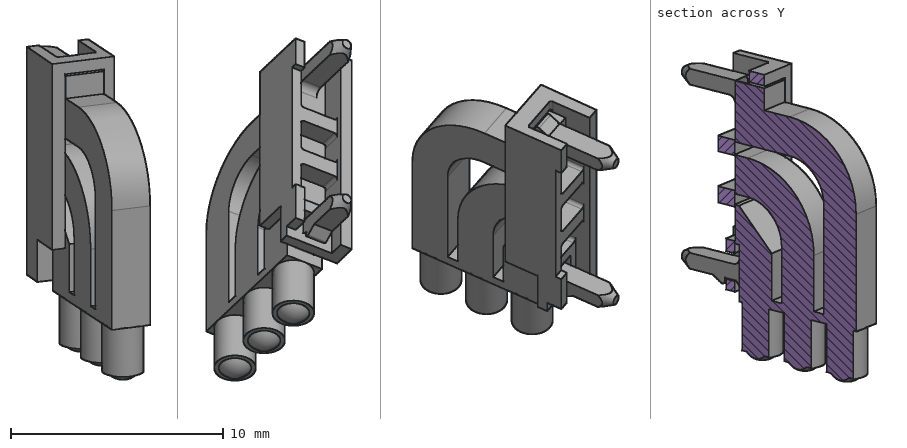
import cadquery as cq
import math


BAR = 1.97
ARM_PITCH = 2.53
FIRST_ARM_X = 1.58
OUTLET_X = 1.31
BEND_INNER_R = 2.02
BEND_OUTER_R = BEND_INNER_R + BAR
LENS_HEIGHT = 0.4
LENS_D = 1.53
BASE_BOTTOM_Z = 2.8
BASE_TOP_Z = 3.28
ARM_X = [FIRST_ARM_X + i * ARM_PITCH for i in range(3)]
MIDDLE_ARM_TOP_Z = 10.09
LONG_ARM_TOP_Z = 12.67
REFLECTOR_Z = 5.64
SHORT_ARM_TOP_Z = REFLECTOR_Z + BAR

PIN_WIDTH = 1.01
PIN_HEIGHT = 0.8
PIN_TIP_X = -2.1
PIN_TIP_D = 0.49
PIN_TIP_ANGLE = 30.0
UPPER_PIN_Z = 13.38
LOWER_PIN_Z = 4.2
PIN_ROOT_R = 0.38
BARB_LENGTH = 0.72
BARB_ANGLE = 30.0
BARB_TIP_R = 0.13
BARB_CLEARANCE = 0.1

TOP_Z = 14.45
HOUSING_DEPTH = 3.1
SIDE_Y = 1.52
DRAFT_FRONT_Y = -1.63
DRAFT_BACK_Y = -1.68
CHANNEL_HALF_WIDTH = 1.01
FOOT_BOTTOM_Z = 3.24
BODY_BOTTOM_Z = 5.32
FRAME_X = 0.32
LATCH_WALL_X = 0.78
LUG_BOTTOM_Z = 3.79
WINDOW_R = 0.17
LOWER_WINDOW_Z = (5.8, 7.47)
MIDDLE_WINDOW_Z = (8.31, 10.03)
UPPER_WINDOW_BOTTOM_Z = 10.82
UPPER_LUG_BOTTOM_Z = 12.92
BRIDGE_X = 2.17
BRIDGE_BOTTOM_Z = 13.87
BRIDGE_CORNER_R = 0.12
PIN_HOLE_HALF_WIDTH = 0.59
PIN_HOLE_TOP_Z = 5.17
PIN_HOLE_R = 0.12


def box(x0, x1, y0, y1, z0, z1):
    """Block between the given limits."""
    return cq.Workplane("XY").box(x1 - x0, y1 - y0, z1 - z0, centered=False).translate((x0, y0, z0))


def side_slab(outline, width):
    """Slab from a closed XZ outline, centred on Y = 0."""
    return outline.extrude(width / 2, both=True)


def bent_arm(x, top_z):
    """Arm that rises from the base and bends round to its outlet."""
    bend_x = x - BEND_INNER_R
    bend_z = top_z - BEND_OUTER_R
    diagonal = math.sqrt(0.5)
    outline = (
        cq.Workplane("XZ")
        .moveTo(x + BAR, BASE_BOTTOM_Z)
        .lineTo(x + BAR, bend_z)
        .threePointArc(
            (bend_x + BEND_OUTER_R * diagonal, bend_z + BEND_OUTER_R * diagonal), (bend_x, top_z)
        )
        .lineTo(OUTLET_X, top_z)
        .lineTo(OUTLET_X, top_z - BAR)
        .lineTo(bend_x, top_z - BAR)
        .threePointArc(
            (bend_x + BEND_INNER_R * diagonal, bend_z + BEND_INNER_R * diagonal), (x, bend_z)
        )
        .lineTo(x, BASE_BOTTOM_Z)
        .close()
    )
    return side_slab(outline, BAR)


def short_arm():
    """Front arm with a 45 degree reflector on its back corner."""
    back_x = FIRST_ARM_X + BAR
    outline = cq.Workplane("XZ").polyline([
        (FIRST_ARM_X, BASE_BOTTOM_Z),
        (back_x, BASE_BOTTOM_Z),
        (back_x, REFLECTOR_Z),
        (back_x - BAR, SHORT_ARM_TOP_Z),
        (OUTLET_X, SHORT_ARM_TOP_Z),
        (OUTLET_X, REFLECTOR_Z),
        (FIRST_ARM_X, REFLECTOR_Z),
    ]).close()
    return side_slab(outline, BAR)


def inlet(x):
    """Vertical inlet cylinder centred at x, with a domed lens underneath."""
    lens_r = LENS_D / 2
    dome_r = (lens_r**2 + LENS_HEIGHT**2) / (2 * LENS_HEIGHT)
    cylinder = cq.Workplane("XY", origin=(x, 0, LENS_HEIGHT)).circle(BAR / 2)
    cylinder = cylinder.extrude(BASE_BOTTOM_Z - LENS_HEIGHT)
    dome = cq.Workplane("XY").sphere(dome_r).translate((x, 0, dome_r))
    dome = dome.intersect(box(x - BAR, x + BAR, -BAR, BAR, 0, LENS_HEIGHT))
    return cylinder.union(dome)


def pin(z, root_x):
    """Rectangular pin with a conical tip, ending at root_x."""
    bar = box(PIN_TIP_X, root_x, -PIN_WIDTH / 2, PIN_WIDTH / 2, z - PIN_HEIGHT / 2, z + PIN_HEIGHT / 2)
    length = root_x - PIN_TIP_X
    tip_r = PIN_TIP_D / 2
    cone_end_r = tip_r + length * math.tan(math.radians(PIN_TIP_ANGLE))
    cone = cq.Solid.makeCone(tip_r, cone_end_r, length, cq.Vector(PIN_TIP_X, 0, z), cq.Vector(1, 0, 0))
    return bar.intersect(cq.Workplane(cone))


def barb(back_x, z, side):
    """Snap ramp on the pin surface at height z; side is 1 for upward and -1 for downward."""
    height = BARB_LENGTH * math.tan(math.radians(BARB_ANGLE))
    outline = cq.Workplane("XZ").polyline([
        (back_x - BARB_LENGTH, z),
        (back_x, z),
        (back_x, z + side * height),
    ]).close()
    tip_edge = ">Z" if side > 0 else "<Z"
    return side_slab(outline, PIN_WIDTH).edges(tip_edge).fillet(BARB_TIP_R)


def root_fillet(face_x, z, side):
    """Concave fillet between the pin surface at height z and the face at face_x."""
    inset = PIN_ROOT_R * (1 - math.sqrt(0.5))
    outline = (
        cq.Workplane("XZ")
        .moveTo(face_x - PIN_ROOT_R, z)
        .threePointArc((face_x - inset, z + side * inset), (face_x, z + side * PIN_ROOT_R))
        .lineTo(face_x, z)
        .close()
    )
    return side_slab(outline, PIN_WIDTH)


def make_light_pipe():
    half_bar = BAR / 2
    half_pin = PIN_HEIGHT / 2
    upper_pin_top_z = UPPER_PIN_Z + half_pin
    upper_barb_x = BRIDGE_X - BARB_CLEARANCE
    lower_barb_x = LATCH_WALL_X - BARB_CLEARANCE

    pipe = short_arm()
    pipe = pipe.union(bent_arm(ARM_X[1], MIDDLE_ARM_TOP_Z))
    pipe = pipe.union(bent_arm(ARM_X[2], LONG_ARM_TOP_Z))
    pipe = pipe.union(box(FIRST_ARM_X, ARM_X[2] + BAR, -half_bar, half_bar, BASE_BOTTOM_Z, BASE_TOP_Z))
    for x in ARM_X:
        pipe = pipe.union(inlet(x + half_bar))

    head_bottom_z = LONG_ARM_TOP_Z - BAR
    pipe = pipe.union(box(OUTLET_X, HOUSING_DEPTH, -half_bar, half_bar, head_bottom_z, upper_pin_top_z))

    pipe = pipe.union(pin(UPPER_PIN_Z, upper_barb_x))
    pipe = pipe.union(barb(upper_barb_x, upper_pin_top_z, 1))
    pipe = pipe.union(root_fillet(OUTLET_X, UPPER_PIN_Z - half_pin, -1))

    pipe = pipe.union(pin(LOWER_PIN_Z, FIRST_ARM_X))
    pipe = pipe.union(barb(lower_barb_x, LOWER_PIN_Z - half_pin, -1))
    for side in (1, -1):
        pipe = pipe.union(root_fillet(FIRST_ARM_X, LOWER_PIN_Z + side * half_pin, side))
    return pipe


def window(bottom_z, top_z):
    """Rounded window through the frame."""
    cutter = box(0, OUTLET_X, -CHANNEL_HALF_WIDTH, CHANNEL_HALF_WIDTH, bottom_z, top_z)
    return cutter.edges("|X").fillet(WINDOW_R)


def make_housing():
    half = CHANNEL_HALF_WIDTH

    body = (
        cq.Workplane("XY", origin=(0, 0, FOOT_BOTTOM_Z))
        .polyline([(0, DRAFT_FRONT_Y), (HOUSING_DEPTH, DRAFT_BACK_Y), (HOUSING_DEPTH, SIDE_Y), (0, SIDE_Y)])
        .close()
        .extrude(TOP_Z - FOOT_BOTTOM_Z)
    )
    body = body.cut(box(OUTLET_X, HOUSING_DEPTH, DRAFT_BACK_Y, SIDE_Y, FOOT_BOTTOM_Z, BODY_BOTTOM_Z))

    body = body.cut(box(OUTLET_X, HOUSING_DEPTH, -half, half, BODY_BOTTOM_Z, BRIDGE_BOTTOM_Z))

    slot = box(0, BRIDGE_X, -half, half, BRIDGE_BOTTOM_Z, TOP_Z)
    body = body.cut(slot.edges("|Z and >X").fillet(BRIDGE_CORNER_R))

    body = body.cut(box(0, FRAME_X, -half, half, FOOT_BOTTOM_Z, TOP_Z))
    latch_recess_top_z = sum(LOWER_WINDOW_Z) / 2
    body = body.cut(box(0, LATCH_WALL_X, -half, half, FOOT_BOTTOM_Z, latch_recess_top_z))

    lower_lug_top_z = LOWER_WINDOW_Z[0]
    body = body.cut(box(0, FRAME_X, half, SIDE_Y, lower_lug_top_z, UPPER_LUG_BOTTOM_Z))
    body = body.cut(box(0, LATCH_WALL_X, half, SIDE_Y, FOOT_BOTTOM_Z, LUG_BOTTOM_Z))

    body = body.cut(window(*LOWER_WINDOW_Z))
    body = body.cut(window(*MIDDLE_WINDOW_Z))
    upper_window = box(0, OUTLET_X, -half, half, UPPER_WINDOW_BOTTOM_Z, TOP_Z)
    body = body.cut(upper_window.edges("|X and <Z").fillet(WINDOW_R))

    hole = box(
        LATCH_WALL_X, OUTLET_X, -PIN_HOLE_HALF_WIDTH, PIN_HOLE_HALF_WIDTH, LUG_BOTTOM_Z, PIN_HOLE_TOP_Z
    )
    return body.cut(hole.edges("|X and >Z").fillet(PIN_HOLE_R))


light_pipe = make_light_pipe()
housing = make_housing()

result = cq.Compound.makeCompound([housing.solids().val(), light_pipe.solids().val()])